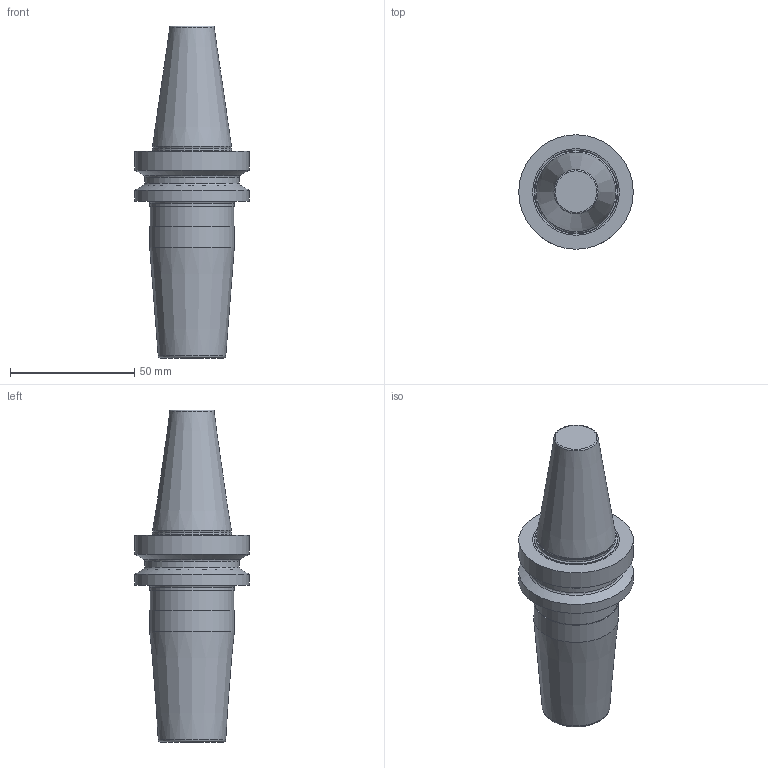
import cadquery as cq
import math


GAUGE_RADIUS = 31.75 / 2
SHANK_LENGTH = 48.4
TAPER_RATIO = 7 / 24
SHANK_TIP_ROUND = 0.5

RELIEF_RADIUS = 15.65
COLLAR_RADIUS = 15.95
COLLAR_TOP_Z = -0.7
COLLAR_ROOT_ROUND = 0.6
RECESS_FLOOR_RADIUS = 16.75
RECESS_FLOOR_Z = -2.15
RECESS_RADIUS = 17.4

FLANGE_RADIUS = 46.0 / 2
FLANGE_TOP_Z = -2.0
FLANGE_BOTTOM_Z = -22.0
GROOVE_CENTRE_Z = -13.55
GROOVE_FLOOR_RADIUS = 38.0 / 2
GROOVE_MOUTH_WIDTH = 8.1
GROOVE_SIDE_ANGLE = math.radians(30)
GROOVE_ROUND = 1.0

BODY_RADIUS = 34.0 / 2
NECK_RADIUS = 33.5 / 2
NECK_TOP_Z = -24.1
ROOT_RADIUS = 33.8 / 2
ROOT_ROUND = 0.8
NECK_BOTTOM_Z = -32.0
NOSE_RADIUS = 27.0 / 2
NOSE_Z = -85.0
NOSE_HALF_ANGLE = math.radians(4.5)
NOSE_ROUND = 1.0


def revolve_profile(profile):
    """Turn a closed radius-height outline about the Z axis."""
    return profile.close().revolve(360, (0, 0, 0), (0, 1, 0))


def round_edge(solid, z, radius, size):
    """Round the circular edge of the given radius at height z."""
    tolerance = 0.01
    reach = radius + tolerance
    box = cq.selectors.BoxSelector(
        (-reach, -reach, z - tolerance),
        (reach, reach, z + tolerance),
        boundingbox=True,
    )
    return solid.edges("%CIRCLE").edges(box).fillet(size)


def make_shank():
    """Taper, the relief and collar below it, and a core through the flange."""
    tip_radius = GAUGE_RADIUS - SHANK_LENGTH * TAPER_RATIO / 2
    shank = revolve_profile(
        cq.Workplane("XZ")
        .moveTo(0, SHANK_LENGTH)
        .lineTo(tip_radius, SHANK_LENGTH)
        .lineTo(GAUGE_RADIUS, 0)
        .lineTo(RELIEF_RADIUS, COLLAR_TOP_Z)
        .lineTo(COLLAR_RADIUS, COLLAR_TOP_Z)
        .lineTo(COLLAR_RADIUS, RECESS_FLOOR_Z + COLLAR_ROOT_ROUND)
        .radiusArc((COLLAR_RADIUS + COLLAR_ROOT_ROUND, RECESS_FLOOR_Z), -COLLAR_ROOT_ROUND)
        .lineTo(COLLAR_RADIUS + COLLAR_ROOT_ROUND, FLANGE_BOTTOM_Z)
        .lineTo(0, FLANGE_BOTTOM_Z)
    )
    return round_edge(shank, SHANK_LENGTH, tip_radius, SHANK_TIP_ROUND)


def make_flange():
    """Flange with a rounded V groove and a shallow recess in its top face."""
    half_mouth = GROOVE_MOUTH_WIDTH / 2
    side_height = (FLANGE_RADIUS - GROOVE_FLOOR_RADIUS) * math.tan(GROOVE_SIDE_ANGLE)
    half_floor = half_mouth - side_height
    flange = revolve_profile(
        cq.Workplane("XZ")
        .moveTo(0, RECESS_FLOOR_Z)
        .lineTo(RECESS_FLOOR_RADIUS, RECESS_FLOOR_Z)
        .lineTo(RECESS_RADIUS, FLANGE_TOP_Z)
        .lineTo(FLANGE_RADIUS, FLANGE_TOP_Z)
        .lineTo(FLANGE_RADIUS, GROOVE_CENTRE_Z + half_mouth)
        .lineTo(GROOVE_FLOOR_RADIUS, GROOVE_CENTRE_Z + half_floor)
        .lineTo(GROOVE_FLOOR_RADIUS, GROOVE_CENTRE_Z - half_floor)
        .lineTo(FLANGE_RADIUS, GROOVE_CENTRE_Z - half_mouth)
        .lineTo(FLANGE_RADIUS, FLANGE_BOTTOM_Z)
        .lineTo(0, FLANGE_BOTTOM_Z)
    )
    for side in (1, -1):
        floor_edge_z = GROOVE_CENTRE_Z + side * half_floor
        flange = round_edge(flange, floor_edge_z, GROOVE_FLOOR_RADIUS, GROOVE_ROUND)
    return flange


def make_body():
    """Rounded root, neck, full-size band and conical nose below the flange."""
    cone_length = (BODY_RADIUS - NOSE_RADIUS) / math.tan(NOSE_HALF_ANGLE)
    body = revolve_profile(
        cq.Workplane("XZ")
        .moveTo(0, FLANGE_BOTTOM_Z)
        .lineTo(ROOT_RADIUS + ROOT_ROUND, FLANGE_BOTTOM_Z)
        .radiusArc((ROOT_RADIUS, FLANGE_BOTTOM_Z - ROOT_ROUND), -ROOT_ROUND)
        .lineTo(ROOT_RADIUS, NECK_TOP_Z)
        .lineTo(NECK_RADIUS, NECK_TOP_Z)
        .lineTo(NECK_RADIUS, NECK_BOTTOM_Z)
        .lineTo(BODY_RADIUS, NECK_BOTTOM_Z)
        .lineTo(BODY_RADIUS, NOSE_Z + cone_length)
        .lineTo(NOSE_RADIUS, NOSE_Z)
        .lineTo(0, NOSE_Z)
    )
    return round_edge(body, NOSE_Z, NOSE_RADIUS, NOSE_ROUND)


result = make_shank().union(make_flange()).union(make_body())